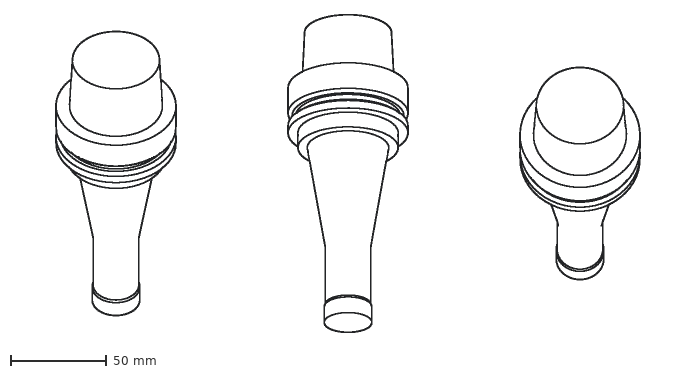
import cadquery as cq

total_height = 167.0
nose_top = 9.0
neck_bottom = 10.4
neck_top = 43.3
cone_top = 100.7
flange_bottom = 109.2
shank_bottom = 135.3

nose_diameter = 25.0
neck_diameter = 23.9
cone_top_diameter = 42.8
collar_diameter = 52.6
flange_diameter = 63.0
groove_diameter = 55.0
groove_mouth_diameter = 58.8
shank_bottom_diameter = 48.8
shank_top_diameter = 45.8

groove_bottom = 115.2
groove_width = 3.7
groove_bevel_height = 1.7
groove_top = groove_bottom + groove_width

half_section = (
    cq.Workplane("XZ")
    .lineTo(nose_diameter / 2, 0)
    .lineTo(nose_diameter / 2, nose_top)
    .lineTo(neck_diameter / 2, neck_bottom)
    .lineTo(neck_diameter / 2, neck_top)
    .lineTo(cone_top_diameter / 2, cone_top)
    .lineTo(collar_diameter / 2, cone_top)
    .lineTo(collar_diameter / 2, flange_bottom)
    .lineTo(flange_diameter / 2, flange_bottom)
    .lineTo(flange_diameter / 2, groove_bottom - groove_bevel_height)
    .lineTo(groove_mouth_diameter / 2, groove_bottom)
    .lineTo(groove_diameter / 2, groove_bottom)
    .lineTo(groove_diameter / 2, groove_top)
    .lineTo(groove_mouth_diameter / 2, groove_top)
    .lineTo(flange_diameter / 2, groove_top + groove_bevel_height)
    .lineTo(flange_diameter / 2, shank_bottom)
    .lineTo(shank_bottom_diameter / 2, shank_bottom)
    .lineTo(shank_top_diameter / 2, total_height)
    .lineTo(0, total_height)
    .close()
)

result = half_section.revolve(360, (0, 0, 0), (0, 1, 0))